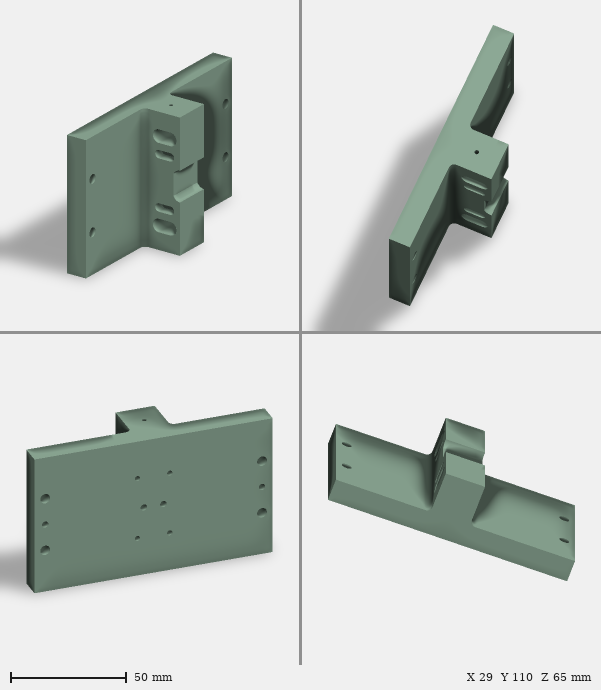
import cadquery as cq
import math

plate_thickness = 10.0
plate_width = 110.0
height = 65.0
depth = 29.0

block_width = 18.0
block_center_y = -2.4
block_fillet = 2.5

slot_center_x = 21.0
clearance_slot_length = 12.4
clearance_slot_height = 6.4
clearance_slot_z = 21.0
pin_slot_length = 10.0
pin_slot_height = 4.0
pin_slot_depth = 5.0
pin_slot_z = 12.5

notch_length = 15.0
notch_diameter = 8.0
notch_depth = 3.4
notch_center_overhang = 0.2

bolt_diameter = 4.5
end_hole_y = 50.0
bolt_z = 12.5
dowel_diameter = 3.0
center_dowel_y = 4.5
screw_diameter = 2.4
screw_y = 7.5
screw_z = 14.5
blind_depth = 6.0

top_hole_diameter = 2.0
top_hole_x = 18.0
top_hole_depth = 5.0

drill_point_angle = 118.0

block_front_y = block_center_y - block_width / 2


def drilled_hole(diameter, hole_depth, start, direction):
    """Blind hole with a drill-point bottom, going from start along direction."""
    radius = diameter / 2
    point_depth = radius / math.tan(math.radians(drill_point_angle / 2))
    axis = cq.Vector(*direction)
    bottom = cq.Vector(*start) + axis * hole_depth
    bore = cq.Solid.makeCylinder(radius, hole_depth, cq.Vector(*start), axis)
    point = cq.Solid.makeCone(radius, 0, point_depth, bottom, axis)
    return cq.Workplane(bore).union(cq.Workplane(point))


def block_slot(length, slot_height, slot_depth, center_z):
    """Slot lying along X, cut into the block from its -Y side."""
    return (
        cq.Workplane("XZ", origin=(slot_center_x, block_front_y, center_z))
        .slot2D(length, slot_height)
        .extrude(-slot_depth)
    )


plate = cq.Workplane("XY").box(plate_thickness, plate_width, height, centered=(False, True, True))
block = (
    cq.Workplane("XY")
    .box(depth, block_width, height, centered=(False, True, True))
    .translate((0, block_center_y, 0))
)
body = plate.union(block)

inner_corners = cq.selectors.BoxSelector(
    (plate_thickness - block_fillet, -block_width, -height),
    (plate_thickness + block_fillet, block_width, height),
)
body = body.edges("|Z").edges(inner_corners).fillet(block_fillet)

for side in (-1, 1):
    body = body.cut(
        block_slot(clearance_slot_length, clearance_slot_height, block_width, side * clearance_slot_z)
    )
    body = body.cut(block_slot(pin_slot_length, pin_slot_height, pin_slot_depth, side * pin_slot_z))

notch_slot = (
    cq.Workplane("XZ", origin=(depth + notch_center_overhang, block_front_y, 0))
    .slot2D(notch_length, notch_diameter, 90)
    .extrude(-block_width)
)
notch_limit = (
    cq.Workplane("XY", origin=(depth - notch_depth, block_center_y, 0))
    .box(notch_diameter, block_width, notch_length, centered=(False, True, True))
)
body = body.cut(notch_slot.intersect(notch_limit))

bolt_holes = (
    cq.Workplane("YZ")
    .rect(2 * end_hole_y, 2 * bolt_z, forConstruction=True)
    .vertices()
    .circle(bolt_diameter / 2)
    .extrude(plate_thickness)
)
body = body.cut(bolt_holes)

for side in (-1, 1):
    for dowel_y in (end_hole_y, center_dowel_y):
        body = body.cut(drilled_hole(dowel_diameter, blind_depth, (0, side * dowel_y, 0), (1, 0, 0)))
    for level in (-screw_z, screw_z):
        body = body.cut(drilled_hole(screw_diameter, blind_depth, (0, side * screw_y, level), (1, 0, 0)))

top_hole_start = (top_hole_x, block_center_y, height / 2)
body = body.cut(drilled_hole(top_hole_diameter, top_hole_depth, top_hole_start, (0, 0, -1)))

result = body